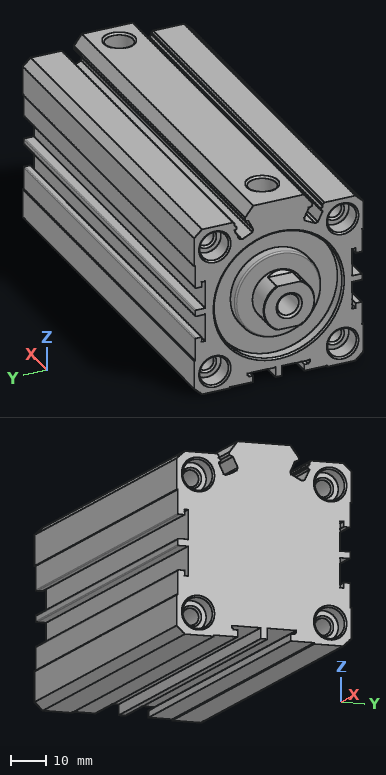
import cadquery as cq
import math

LENGTH = 114.5
HALF = 26.5
RIDGE_TOP = 30.5
RIDGE_FLAT = 8.0
RIDGE_HALF = 10.5
RIDGE_EDGE_TOP = 27.2
RIDGE_EDGE_BOTTOM = 26.3
CORNER_Y = 2.5
CORNER_Z = 2.3

GROOVE_Y = 9.85
GROOVE_Z = 21.25
GROOVE_TILT = 26.0
GROOVE_WIDTH = 4.8
GROOVE_DEPTH = 4.0
GROOVE_BEVEL = 0.6
LIP_TIP_Y = 13.2
LIP_TIP_LOW = 24.25
LIP_TIP_HIGH = 24.75
LIP_NECK_Y = 13.8
LIP_TOP_BEVEL = 0.5

RELIEF = 0.35
RELIEF_END = 15.2
FACE = HALF - RELIEF
SLOT_HALF = 8.05
LIP_INNER = 24.1
SLOT_FLOOR = 23.0
SIDE_UNDERCUT = 9.6
BOTTOM_UNDERCUT = 9.8
BOTTOM_BEVEL = 0.6
RIB_HALF = 1.0
EDGE_ROUND = 0.3

RECESS_DIAMETER = 40.0
RECESS_DEPTH = 3.5
RECESS_CHAMFER = 0.5
COLLAR_DIAMETER = 27.0
COLLAR_SETBACK = 0.5
COLLAR_ROUND = 0.5

HOLE_PITCH = 40.0
HOLE_DIAMETER = 4.92
HOLE_CHAMFER = 0.6
COUNTERBORE_DIAMETER = 9.0
COUNTERBORE_DEPTH = 5.5
COUNTERBORE_CHAMFER = 0.5

PORT_DIAMETER = 8.57
PORT_DEPTH = 8.0
PORT_CHAMFER = 0.6
PORT_FRONT = 11.0
PORT_REAR = LENGTH - 8.0

ROD_DIAMETER = 16.0
ROD_STICKOUT = 7.0
ROD_INSERTED = 85.0
FLATS_WIDTH = 14.0
FLATS_LENGTH = 6.0
TIP_CHAMFER = 0.2
THREAD_DIAMETER = 6.65
THREAD_DEPTH = 13.0
THREAD_CHAMFER = 0.7
DRILL_POINT_ANGLE = 118.0


def groove_point(across, above):
    """Section point of the tilted groove, measured from the middle of its floor."""
    tilt = math.radians(GROOVE_TILT)
    return (
        GROOVE_Y - across * math.cos(tilt) + above * math.sin(tilt),
        GROOVE_Z + across * math.sin(tilt) + above * math.cos(tilt),
    )


def half_profile():
    """Half of the section on the +Y side, as (y, z) points from top middle to bottom middle."""
    floor_half = GROOVE_WIDTH / 2
    ridge = [
        (0, RIDGE_TOP),
        (RIDGE_FLAT, RIDGE_TOP),
        (RIDGE_HALF, RIDGE_EDGE_TOP),
        (RIDGE_HALF, RIDGE_EDGE_BOTTOM),
    ]
    groove = [
        groove_point(floor_half, GROOVE_DEPTH),
        groove_point(floor_half, GROOVE_BEVEL),
        groove_point(floor_half - GROOVE_BEVEL, 0),
        groove_point(GROOVE_BEVEL - floor_half, 0),
        groove_point(-floor_half, GROOVE_BEVEL),
        groove_point(-floor_half, GROOVE_DEPTH),
    ]
    outer_lip = [
        (LIP_TIP_Y, LIP_TIP_LOW),
        (LIP_TIP_Y, LIP_TIP_HIGH),
        (LIP_NECK_Y, LIP_TIP_HIGH + LIP_NECK_Y - LIP_TIP_Y),
        (LIP_NECK_Y, HALF - LIP_TOP_BEVEL),
        (LIP_NECK_Y + LIP_TOP_BEVEL, HALF),
    ]
    upper_side = [
        (HALF - CORNER_Y, HALF),
        (HALF, HALF - CORNER_Z),
        (HALF, RELIEF_END),
        (FACE, RELIEF_END),
        (FACE, SLOT_HALF),
        (LIP_INNER, SLOT_HALF),
        (LIP_INNER, SIDE_UNDERCUT),
        (SLOT_FLOOR, SIDE_UNDERCUT),
        (SLOT_FLOOR, RIB_HALF),
        (FACE, RIB_HALF),
    ]
    lower_side = [(y, -z) for y, z in reversed(upper_side)]
    bottom = [
        (RELIEF_END, -HALF),
        (RELIEF_END, -FACE),
        (SLOT_HALF, -FACE),
        (SLOT_HALF, -LIP_INNER),
        (BOTTOM_UNDERCUT - BOTTOM_BEVEL, -LIP_INNER),
        (BOTTOM_UNDERCUT, BOTTOM_BEVEL - LIP_INNER),
        (BOTTOM_UNDERCUT, -SLOT_FLOOR),
        (RIB_HALF, -SLOT_FLOOR),
        (RIB_HALF, -FACE),
        (0, -FACE),
    ]
    return ridge + groove + outer_lip + upper_side + lower_side + bottom


def disc_on_axis(diameter, start, end):
    return cq.Workplane("YZ", origin=(start, 0, 0)).circle(diameter / 2).extrude(end - start)


def turned(points):
    """Solid of revolution about X from (x, radius) points."""
    return cq.Workplane("XY").polyline(points).close().revolve(360, (0, 0, 0), (1, 0, 0))


def make_extrusion():
    right = half_profile()
    left = [(-y, z) for y, z in reversed(right[1:-1])]
    extrusion = cq.Workplane("YZ").polyline(right + left).close().extrude(LENGTH)
    for y in (-FACE, FACE):
        for z in (-SLOT_HALF, -RIB_HALF, RIB_HALF, SLOT_HALF):
            edge = cq.selectors.NearestToPointSelector((LENGTH / 2, y, z))
            extrusion = extrusion.edges(edge).fillet(EDGE_ROUND)
    return extrusion


def make_recess():
    radius = RECESS_DIAMETER / 2
    recess = turned([
        (0, 0),
        (0, radius + RECESS_CHAMFER),
        (RECESS_CHAMFER, radius),
        (RECESS_DEPTH, radius),
        (RECESS_DEPTH, 0),
    ])
    collar = disc_on_axis(COLLAR_DIAMETER, COLLAR_SETBACK, RECESS_DEPTH)
    collar = collar.faces("<X").edges().fillet(COLLAR_ROUND)
    return recess.cut(collar)


def make_mounting_hole():
    cb = COUNTERBORE_DIAMETER / 2
    hole = HOLE_DIAMETER / 2
    half = [
        (0, cb + COUNTERBORE_CHAMFER),
        (COUNTERBORE_CHAMFER, cb),
        (COUNTERBORE_DEPTH, cb),
        (COUNTERBORE_DEPTH, hole + HOLE_CHAMFER),
        (COUNTERBORE_DEPTH + HOLE_CHAMFER, hole),
    ]
    rear = [(LENGTH - x, r) for x, r in reversed(half)]
    return turned([(0, 0)] + half + rear + [(LENGTH, 0)])


def make_port():
    port = cq.Workplane("XY", origin=(0, 0, RIDGE_TOP)).circle(PORT_DIAMETER / 2).extrude(-PORT_DEPTH)
    mouth = (
        cq.Workplane("XY", origin=(0, 0, RIDGE_TOP))
        .circle(PORT_DIAMETER / 2 + PORT_CHAMFER)
        .extrude(-PORT_CHAMFER, taper=45)
    )
    return port.union(mouth)


def make_housing():
    housing = make_extrusion().cut(make_recess()).cut(disc_on_axis(ROD_DIAMETER, 0, ROD_INSERTED))
    for y in (-HOLE_PITCH / 2, HOLE_PITCH / 2):
        for z in (-HOLE_PITCH / 2, HOLE_PITCH / 2):
            housing = housing.cut(make_mounting_hole().translate((0, y, z)))
    for x in (PORT_FRONT, PORT_REAR):
        housing = housing.cut(make_port().translate((x, 0, 0)))
    return housing


def make_rod():
    tip = -ROD_STICKOUT
    rod = disc_on_axis(ROD_DIAMETER, tip, ROD_INSERTED)
    rod = rod.faces("<X").edges().chamfer(TIP_CHAMFER)
    outer = ROD_DIAMETER / 2
    flat = FLATS_WIDTH / 2
    flat_end = tip + FLATS_LENGTH
    for side in (1, -1):
        cutter = (
            cq.Workplane("XZ")
            .polyline([
                (tip, side * flat),
                (flat_end, side * flat),
                (flat_end + outer - flat, side * outer),
                (tip, side * outer),
            ])
            .close()
            .extrude(outer, both=True)
        )
        rod = rod.cut(cutter)
    thread = THREAD_DIAMETER / 2
    point = thread / math.tan(math.radians(DRILL_POINT_ANGLE / 2))
    bore = turned([
        (tip, 0),
        (tip, thread + THREAD_CHAMFER),
        (tip + THREAD_CHAMFER, thread),
        (tip + THREAD_DEPTH, thread),
        (tip + THREAD_DEPTH + point, 0),
    ])
    return rod.cut(bore)


housing = make_housing()
rod = make_rod()
result = cq.Compound.makeCompound([housing.val(), rod.val()])